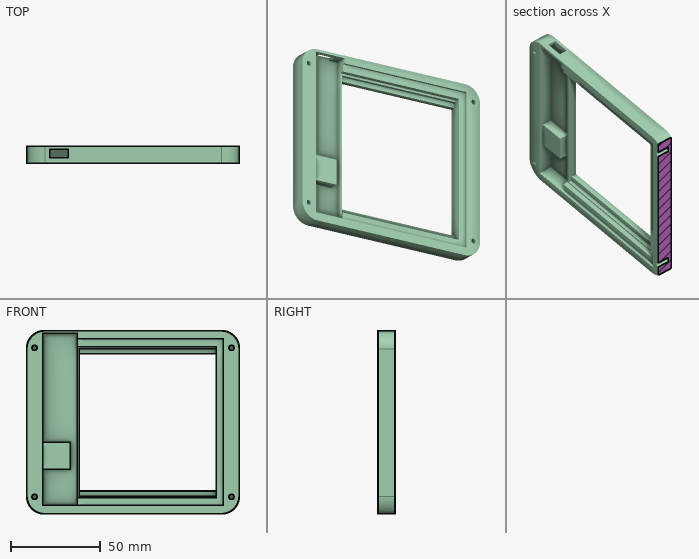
import cadquery as cq

width = 118.4
thickness = 9.6
height = 102.0
corner_radius = 10.0

side_margin = 9.0
rebate_bottom_margin = 4.7
rebate_top_margin = 4.6
rebate_depth = 1.5

window_right = width - 12.9
seat_margin = 9.0
seat_depth = 4.4
middle_bottom_margin = 9.8
middle_top_margin = 10.2
middle_depth = 6.4
opening_margin = 12.9

pocket_right = 28.2
pocket_top_margin = 1.5
pocket_depth = 7.9
divider_thickness = 1.2
window_left = pocket_right + divider_thickness

block_width = 15.3
block_bottom = 25.0
block_height = 14.9
block_front = 2.2

slot_left = 12.9
slot_width = 10.2
slot_front = 3.1
slot_thickness = pocket_depth - slot_front

hole_diameter = 2.8
hole_depth = 7.1
hole_side_margin = 4.4
hole_end_margin = 9.6


def block(left, right, front, back, bottom, top):
    """Box given by its limits along X, Y and Z."""
    size = (right - left, back - front, top - bottom)
    return cq.Workplane("XY").box(*size, centered=False).translate((left, front, bottom))


def front_cut(left, right, depth, bottom_margin, top_margin):
    """Rectangular recess sunk from the front face."""
    return block(left, right, 0, depth, bottom_margin, height - top_margin)


body = block(0, width, 0, thickness, 0, height).edges("|Y").fillet(corner_radius)

rebate = front_cut(side_margin, width - side_margin, rebate_depth, rebate_bottom_margin, rebate_top_margin)
seat = front_cut(pocket_right, window_right, seat_depth, seat_margin, seat_margin)
middle = front_cut(window_left, window_right, middle_depth, middle_bottom_margin, middle_top_margin)
opening = front_cut(window_left, window_right, thickness, opening_margin, opening_margin)
body = body.cut(rebate).cut(seat).cut(middle).cut(opening)

pocket = front_cut(side_margin, pocket_right, pocket_depth, rebate_bottom_margin, pocket_top_margin)
support = block(
    side_margin, side_margin + block_width,
    block_front, pocket_depth,
    block_bottom, block_bottom + block_height,
)
body = body.cut(pocket.cut(support))

slot = block(
    slot_left, slot_left + slot_width,
    slot_front, slot_front + slot_thickness,
    height - pocket_top_margin, height,
)
body = body.cut(slot)

for x in (hole_side_margin, width - hole_side_margin):
    for z in (hole_end_margin, height - hole_end_margin):
        hole = cq.Solid.makeCylinder(hole_diameter / 2, hole_depth, cq.Vector(x, 0, z), cq.Vector(0, 1, 0))
        body = body.cut(cq.Workplane(obj=hole))

result = body